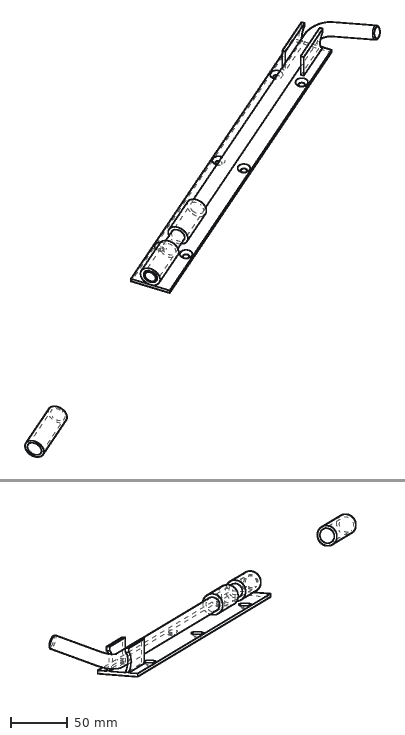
import cadquery as cq
import math


plate_width = 38.0
plate_length = 350.0
plate_thickness = 3.0

screw_offset_x = 12.5
screw_end_margin = 50.0
screw_rows = 3
screw_hole_diameter = 5.5
countersink_diameter = 11.0
countersink_angle = 90

cheek_gap = 15.0
cheek_thickness = 3.0
cheek_length = 41.5
cheek_top = 25.5
notch_radius = 10.0
notch_center_beyond_plate = 4.0

guide_tube_diameter = 19.0
keeper_diameter = 18.5
keeper_bore = 13.5
guide_tube_length = 40.0
guide_tube_spacing = 60.0
guide_tube_count = 2
keeper_length = 50.0
keeper_front_y = -250.5

rod_diameter = 13.0
rod_end_chamfer = 1.0
rod_front_y = 0.0
overall_length = 618
bend_radius = 15.0
handle_tilt = 15.5
overall_width = 78.5

axis_z = plate_thickness + guide_tube_diameter / 2
rod_radius = rod_diameter / 2
handle_y = keeper_front_y + overall_length - rod_radius
bend_start_y = handle_y - bend_radius
tilt = math.radians(handle_tilt)
handle_reach = overall_width - plate_width / 2
end_face_radius = rod_radius - rod_end_chamfer
handle_length = (handle_reach - end_face_radius * math.sin(tilt)) / math.cos(tilt)


def make_cheek(side):
    """One upright guide cheek; side is -1 or +1 along X."""
    center_x = side * (cheek_gap + cheek_thickness) / 2
    return (
        cq.Workplane("XY", origin=(center_x, plate_length, 0))
        .box(cheek_thickness, cheek_length, cheek_top, centered=(True, False, False))
        .translate((0, -cheek_length, 0))
    )


def make_plate():
    """Base plate with guide cheeks, handle notches and countersunk screw holes."""
    plate = cq.Workplane("XY").box(
        plate_width, plate_length, plate_thickness, centered=(True, False, False)
    )
    screw_pitch = (plate_length - 2 * screw_end_margin) / (screw_rows - 1)
    screw_points = [
        (side * screw_offset_x, screw_end_margin + row * screw_pitch)
        for side in (-1, 1)
        for row in range(screw_rows)
    ]
    plate = (
        plate.faces(">Z")
        .workplane(origin=(0, 0, plate_thickness))
        .pushPoints(screw_points)
        .cskHole(screw_hole_diameter, countersink_diameter, countersink_angle)
    )
    notch = (
        cq.Workplane("YZ")
        .center(plate_length + notch_center_beyond_plate, axis_z)
        .circle(notch_radius)
        .extrude(plate_width / 2, both=True)
    )
    for side in (-1, 1):
        plate = plate.union(make_cheek(side).cut(notch))
    return plate


def make_tube(front_y, length, diameter, bore):
    """A round tube on the bolt axis."""
    return (
        cq.Workplane("XZ", origin=(0, front_y, axis_z))
        .circle(diameter / 2)
        .circle(bore / 2)
        .extrude(-length)
    )


def make_bolt():
    """Chamfered round rod along the bolt axis, round the bend and out along the handle."""
    bend_middle = bend_radius * math.sin(math.pi / 4)
    path = (
        cq.Workplane("XY")
        .moveTo(0, rod_front_y)
        .lineTo(0, bend_start_y)
        .threePointArc(
            (bend_radius - bend_middle, bend_start_y + bend_middle),
            (bend_radius, handle_y),
        )
        .lineTo(handle_length, handle_y)
    )
    bolt = cq.Workplane("XZ", origin=(0, rod_front_y, 0)).circle(rod_radius).sweep(path)
    bolt = bolt.faces("<Y").chamfer(rod_end_chamfer).faces(">X").chamfer(rod_end_chamfer)
    return bolt.rotate((0, 0, 0), (0, 1, 0), -handle_tilt).translate((0, 0, axis_z))


plate = make_plate()
bolt = make_bolt()
guide_tubes = [
    make_tube(i * guide_tube_spacing, guide_tube_length, guide_tube_diameter, rod_diameter)
    for i in range(guide_tube_count)
]
keeper_tube = make_tube(keeper_front_y, keeper_length, keeper_diameter, keeper_bore)

result = cq.Compound.makeCompound(
    [plate.val(), bolt.val(), *[tube.val() for tube in guide_tubes], keeper_tube.val()]
)